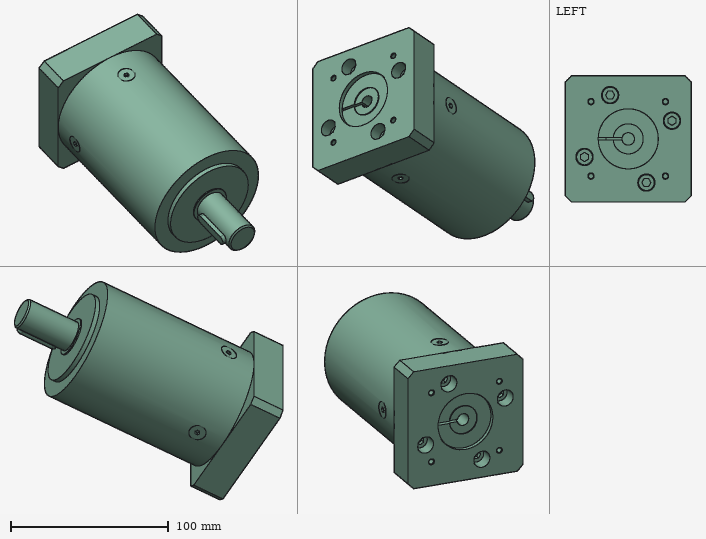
import cadquery as cq
import math

total_length = 168.5
width = 80.0
flange_end = 21.4
housing_end = 128.5
pilot_end = 131.6
collar_end = 132.5

flange_corner_chamfer = 4.0
motor_pilot_diameter = 38.0
motor_pilot_depth = 3.0
tapped_hole_offset = 23.6
tapped_hole_diameter = 3.2
tapped_hole_mouth_diameter = 4.0
tapped_hole_depth = 11.8

screw_circle_radius = 30.0
screw_count = 4
screw_start_angle = -22.5
screw_hole_diameter = 11.0
screw_head_diameter = 10.0
screw_recess_depth = 14.5
screw_head_height = 6.0
screw_hex_corners = 5.7
screw_hex_depth = 3.0

hub_diameter = 19.0
hub_recess_depth = 0.7
hub_bore_diameter = 8.0
hub_bore_depth = 25.3
hub_slot_width = 1.5
hub_slot_steps = (
    (14.0, 10.1),
    (motor_pilot_diameter / 2, 6.7),
)

plug_position = 39.6
plug_diameter = 11.0
plug_recess = 0.3
plug_hex_corners = 3.4
plug_hex_depth = 2.0
plug_count = 4

pilot_diameter = 60.0
collar_diameter = 25.0
shaft_diameter = 20.0
shaft_chamfer = 1.0

key_start = 136.5
key_length = 28.0
key_width = 6.0
key_top = 12.5


def at_x(x):
    """Workplane facing +X with local x along Y and local y along Z."""
    return cq.Workplane("YZ", origin=(x, 0, 0))


def cylinder(start, end, diameter):
    return at_x(start).circle(diameter / 2).extrude(end - start)


def make_body():
    flange = at_x(0).rect(width, width).extrude(flange_end)
    flange = flange.edges("|X").chamfer(flange_corner_chamfer)
    shaft = cylinder(collar_end, total_length, shaft_diameter)
    shaft = shaft.faces(">X").chamfer(shaft_chamfer)
    body = flange.union(cylinder(flange_end, housing_end, width))
    body = body.union(cylinder(housing_end, pilot_end, pilot_diameter))
    body = body.union(cylinder(pilot_end, collar_end, collar_diameter))
    return body.union(shaft)


def make_key():
    key_middle = key_start + key_length / 2
    key = cq.Workplane("XZ").center(key_middle, 0).slot2D(key_length, key_width)
    return key.extrude(key_top)


def cut_motor_pilot(body):
    """Pilot bore, hub recess, hub bore, and the stepped clamping slot along +Y."""
    hub_face = motor_pilot_depth + hub_recess_depth
    body = body.cut(cylinder(0, motor_pilot_depth, motor_pilot_diameter))
    body = body.cut(cylinder(motor_pilot_depth, hub_face, hub_diameter))
    body = body.cut(cylinder(hub_face, hub_bore_depth, hub_bore_diameter))
    for reach, depth in hub_slot_steps:
        slot = at_x(motor_pilot_depth).center(reach / 2, 0).rect(reach, hub_slot_width)
        body = body.cut(slot.extrude(depth))
    return body


def cut_tapped_holes(body):
    """Square pattern of four blind holes with 45 degree chamfered mouths."""
    hole = cylinder(0, tapped_hole_depth, tapped_hole_diameter)
    mouth_depth = (tapped_hole_mouth_diameter - tapped_hole_diameter) / 2
    mouth = at_x(0).circle(tapped_hole_mouth_diameter / 2).workplane(offset=mouth_depth)
    mouth = mouth.circle(tapped_hole_diameter / 2).loft()
    cutter = hole.union(mouth)
    for y in (-tapped_hole_offset, tapped_hole_offset):
        for z in (-tapped_hole_offset, tapped_hole_offset):
            body = body.cut(cutter.translate((0, y, z)))
    return body


def cut_screws(body):
    """Sink the screws; sockets on the Y sides point along Z, the others along Y."""
    head_top = screw_recess_depth - screw_head_height
    recess = cylinder(0, screw_recess_depth, screw_hole_diameter)
    head = cylinder(head_top, screw_recess_depth, screw_head_diameter)
    socket = at_x(head_top).transformed(rotate=(0, 0, 90)).polygon(6, screw_hex_corners)
    cutter = recess.cut(head.cut(socket.extrude(screw_hex_depth)))
    start = math.radians(screw_start_angle)
    cutter = cutter.translate(
        (0, screw_circle_radius * math.cos(start), screw_circle_radius * math.sin(start))
    )
    for i in range(screw_count):
        body = body.cut(cutter.rotate((0, 0, 0), (1, 0, 0), i * 360 / screw_count))
    return body


def cut_plugs(body):
    plug_face = width / 2 - plug_recess
    face = cq.Workplane("XY", origin=(plug_position, 0, plug_face))
    recess = face.circle(plug_diameter / 2).extrude(width)
    socket = face.polygon(6, plug_hex_corners).extrude(-plug_hex_depth)
    for i in range(plug_count):
        cutter = recess.union(socket).rotate((0, 0, 0), (1, 0, 0), i * 360 / plug_count)
        body = body.cut(cutter)
    return body


result = make_body().union(make_key())
result = cut_motor_pilot(result)
result = cut_tapped_holes(result)
result = cut_screws(result)
result = cut_plugs(result)